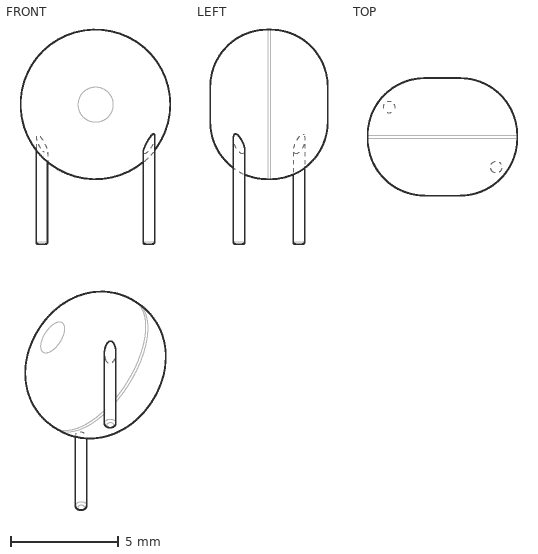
import cadquery as cq

body_diameter = 7.0
body_thickness = 5.5
rim_band_width = 0.14
rim_radius = (body_thickness - rim_band_width) / 2
body_center_z = body_diameter / 2

lead_diameter = 0.54
lead_pitch_x = 5.0
lead_offset_y = 2.8
lead_length_below_body = 3.03
lead_tip_fillet = 0.11


def make_body():
    """Round disc with both edges rounded, leaving a narrow straight band on the rim."""
    disc = (
        cq.Workplane("XZ", origin=(0, body_thickness / 2, body_center_z))
        .circle(body_diameter / 2)
        .extrude(body_thickness)
    )
    return disc.faces("<Y or >Y").edges().fillet(rim_radius)


def make_lead(x, y):
    """Vertical wire from its rounded lower tip up to the body's mid-height."""
    wire_length = lead_length_below_body + body_center_z
    wire = (
        cq.Workplane("XY", origin=(x, y, -lead_length_below_body))
        .circle(lead_diameter / 2)
        .extrude(wire_length)
    )
    return wire.faces("<Z").edges().fillet(lead_tip_fillet)


result = make_body()
for side in (-1, 1):
    lead = make_lead(side * lead_pitch_x / 2, -side * lead_offset_y / 2)
    result = result.union(lead)